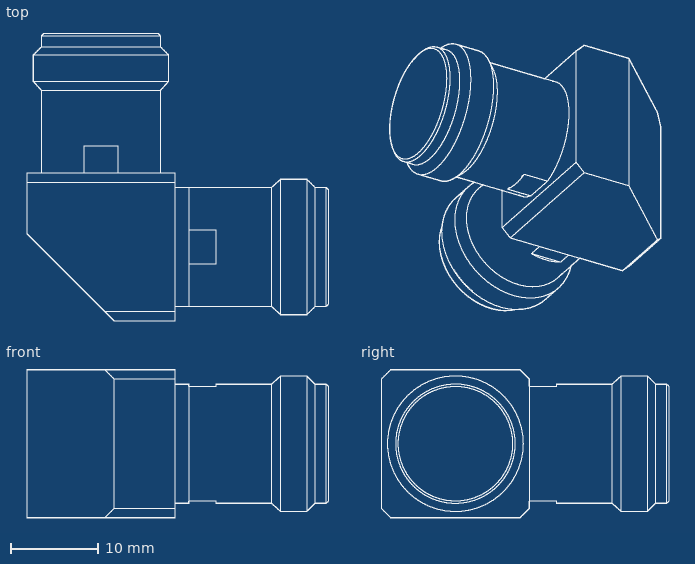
import cadquery as cq

BLOCK_SIDE = 17.0
CORNER_CUT = 10.0
EDGE_CHAMFER = 1.07

TOTAL_X = 34.6
TOTAL_Y = 33.0

NECK_RADIUS = 6.85
RING_RADIUS = 7.8
RING_REAR = 9.48
RING_REAR_SLOPE = 1.05
RING_LAND = 3.0
RING_FRONT_SLOPE = 0.95
TIP_CHAMFER = 0.28
FLAT_HEIGHT = 6.57
FLAT_LENGTH = 3.08

HALF_SIDE = BLOCK_SIDE / 2
CONNECTOR_LENGTH = TOTAL_Y - BLOCK_SIDE
COLLAR_LENGTH = TOTAL_X - TOTAL_Y


def make_block():
    """Cube with chamfered +Y and -Y end edges, a cut-off corner and a round collar on +X."""
    block = (
        cq.Workplane("XY")
        .box(BLOCK_SIDE, BLOCK_SIDE, BLOCK_SIDE)
        .edges("|X")
        .chamfer(EDGE_CHAMFER)
    )
    corner = (
        cq.Workplane("XY", origin=(-HALF_SIDE, -HALF_SIDE, -HALF_SIDE))
        .polyline([(0, 0), (CORNER_CUT, 0), (0, CORNER_CUT)])
        .close()
        .extrude(BLOCK_SIDE)
    )
    collar = cq.Workplane("YZ", origin=(HALF_SIDE, 0, 0)).circle(NECK_RADIUS).extrude(COLLAR_LENGTH)
    return block.cut(corner).union(collar)


def make_connector():
    """Turned connector along +X with its seat at the origin and two flats facing +Z and -Z."""
    ring_land_start = RING_REAR + RING_REAR_SLOPE
    ring_land_end = ring_land_start + RING_LAND
    ring_front = ring_land_end + RING_FRONT_SLOPE
    body = (
        cq.Workplane("XY")
        .polyline([
            (0, 0),
            (0, NECK_RADIUS),
            (RING_REAR, NECK_RADIUS),
            (ring_land_start, RING_RADIUS),
            (ring_land_end, RING_RADIUS),
            (ring_front, NECK_RADIUS),
            (CONNECTOR_LENGTH - TIP_CHAMFER, NECK_RADIUS),
            (CONNECTOR_LENGTH, NECK_RADIUS - TIP_CHAMFER),
            (CONNECTOR_LENGTH, 0),
        ])
        .close()
        .revolve(360, (0, 0, 0), (1, 0, 0))
    )
    flat_depth = NECK_RADIUS - FLAT_HEIGHT
    for side in (1, -1):
        flat_cut = cq.Workplane("XY").box(FLAT_LENGTH, 2 * NECK_RADIUS, flat_depth).translate(
            (FLAT_LENGTH / 2, 0, side * (FLAT_HEIGHT + flat_depth / 2))
        )
        body = body.cut(flat_cut)
    return body


block = make_block()

connectors = []
for angle, seat in ((0, HALF_SIDE + COLLAR_LENGTH), (90, HALF_SIDE)):
    connector = make_connector().translate((seat, 0, 0)).rotate((0, 0, 0), (0, 0, 1), angle)
    connectors.append(connector)

result = cq.Compound.makeCompound([block.val(), *[connector.val() for connector in connectors]])